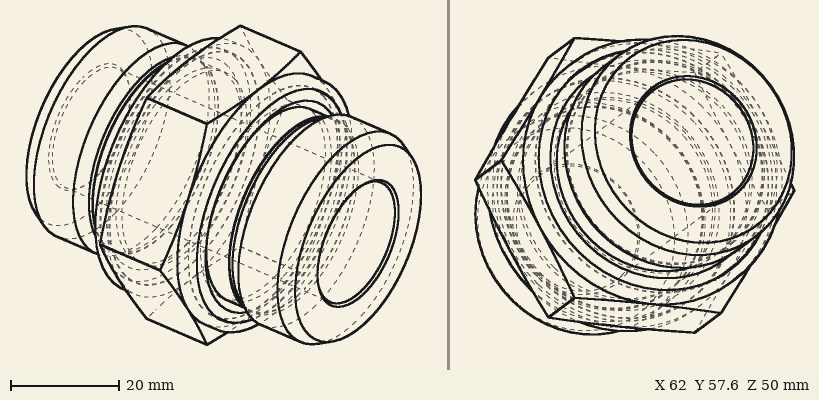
import cadquery as cq
import math

length = 62.0
lead_end = 2.9
thread_end = 11.95
runout_end = 14.45
shoulder_end = 15.25
ring_face = 19.5
collar_face = 19.95
hex_start = 23.0

bore_d = 24.0
thread_d = 41.9
root_d = 38.8
neck_d = 38.5
ring_d = 45.8
ring_mouth_d = 41.8
groove_d = 46.05
collar_d = 50.0

across_flats = collar_d
across_corners = across_flats / math.cos(math.pi / 6)
hex_turned_d = 57.65
hex_bevel = 1.05

bore_chamfer = 0.5
edge_round = 0.25
groove_depth = 2.0
flare_depth = 1.05

middle = length / 2
groove_floor = collar_face + groove_depth
hex_width = length - 2 * hex_start


def revolve_profile(points):
    """Revolve a closed (x, radius) outline about the X axis."""
    return cq.Workplane("XY").polyline(points).close().revolve(360, (0, 0, 0), (1, 0, 0))


def round_rim(body, x, diameter):
    """Round the circular edge of the given diameter centred on the axis at x."""
    tolerance = 0.005
    rims = [
        edge
        for edge in body.edges("%CIRCLE").vals()
        if abs(edge.Center().x - x) < tolerance
        and abs(edge.radius() - diameter / 2) < tolerance
    ]
    return body.newObject(rims).fillet(edge_round)


def mirror_to_far_end(body):
    return body.mirror("YZ", (middle, 0, 0))


def make_threaded_end():
    """Stub from the end face to the middle, with a ring groove in its collar."""
    stub = revolve_profile([
        (0, 0),
        (0, root_d / 2),
        (lead_end, thread_d / 2),
        (thread_end, thread_d / 2),
        (runout_end, root_d / 2),
        (shoulder_end, root_d / 2),
        (shoulder_end, neck_d / 2),
        (groove_floor, neck_d / 2),
        (groove_floor, groove_d / 2),
        (collar_face, groove_d / 2),
        (collar_face, collar_d / 2),
        (middle, collar_d / 2),
        (middle, 0),
    ])
    return round_rim(stub, collar_face, collar_d)


def make_hexagon():
    """Hexagon with corners on +Y and -Y, its corners bevelled at both faces."""
    prism = (
        cq.Workplane("YZ", origin=(hex_start, 0, 0))
        .polygon(6, across_corners)
        .extrude(hex_width)
    )
    envelope = revolve_profile([
        (hex_start, 0),
        (hex_start, collar_d / 2),
        (hex_start + hex_bevel, hex_turned_d / 2),
        (length - hex_start - hex_bevel, hex_turned_d / 2),
        (length - hex_start, collar_d / 2),
        (length - hex_start, 0),
    ])
    return prism.intersect(envelope)


def make_bore():
    """Through bore with a chamfer at each mouth."""
    mouth_r = bore_d / 2 + bore_chamfer
    return revolve_profile([
        (0, 0),
        (0, mouth_r),
        (bore_chamfer, bore_d / 2),
        (length - bore_chamfer, bore_d / 2),
        (length, mouth_r),
        (length, 0),
    ])


def make_fitting():
    stub = make_threaded_end()
    return stub.union(mirror_to_far_end(stub)).union(make_hexagon()).cut(make_bore())


def make_sealing_ring():
    """Ring seated on the groove floor, flared around the neck at its exposed face."""
    ring = revolve_profile([
        (ring_face, ring_mouth_d / 2),
        (ring_face, ring_d / 2),
        (groove_floor, ring_d / 2),
        (groove_floor, neck_d / 2),
        (ring_face + flare_depth, neck_d / 2),
    ])
    return round_rim(ring, ring_face, ring_d)


fitting = make_fitting()

sealing_rings = []
for at_far_end in (False, True):
    ring = make_sealing_ring()
    if at_far_end:
        ring = mirror_to_far_end(ring)
    sealing_rings.append(ring.val())

result = cq.Compound.makeCompound([fitting.val(), *sealing_rings])